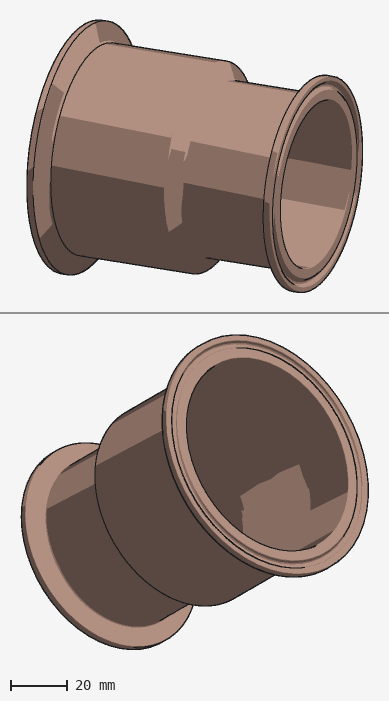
import cadquery as cq
import math


length = 92.1
wall = 1.7
large_bore_d = 72.9
small_bore_d = 60.2
large_flange_d = 90.9
small_flange_d = 77.4
rim_width = 2.9
flange_angle = math.radians(20)
rim_radius = 0.4
bore_lip_radius = 0.4
neck_radius = 0.8

step_center_x = 52.5
step_angle = math.radians(60)
step_radius = 0.9

taper_start_x = 22.65
taper_end_x = 51.6
taper_radius = 7.8

groove_center_offset = 5.25
groove_bottom_radius = 1.2
groove_lip_radius = 0.6
groove_wall_angle = math.radians(75)

large_bore_r = large_bore_d / 2
small_bore_r = small_bore_d / 2
large_tube_r = large_bore_r + wall
small_tube_r = small_bore_r + wall
large_flange_r = large_flange_d / 2
small_flange_r = small_flange_d / 2

step_half_length = (large_tube_r - small_tube_r) / math.tan(step_angle) / 2
step_start_x = step_center_x - step_half_length
step_end_x = step_center_x + step_half_length


def flange_back_length(flange_r, tube_r):
    """Axial length of the conical flange back, from rim to tube."""
    return (flange_r - tube_r) * math.tan(flange_angle)


large_neck_x = rim_width + flange_back_length(large_flange_r, large_tube_r)
small_neck_x = length - rim_width - flange_back_length(small_flange_r, small_tube_r)


def revolve_about_x(profile):
    return profile.revolve(360, (0, 0, 0), (1, 0, 0))


def round_circle(body, x, circle_r, fillet_r):
    """Fillet the circular edge of radius circle_r centered on the axis at x."""
    tolerance = 0.01
    edges = [
        edge for edge in body.edges("%CIRCLE").vals()
        if abs(edge.Center().x - x) < tolerance and abs(edge.radius() - circle_r) < tolerance
    ]
    return body.newObject(edges).fillet(fillet_r)


def make_outside():
    outside = revolve_about_x(
        cq.Workplane("XY").polyline([
            (0, 0),
            (0, large_flange_r),
            (rim_width, large_flange_r),
            (large_neck_x, large_tube_r),
            (step_start_x, large_tube_r),
            (step_end_x, small_tube_r),
            (small_neck_x, small_tube_r),
            (length - rim_width, small_flange_r),
            (length, small_flange_r),
            (length, 0),
        ]).close()
    )
    rounded_edges = [
        (0, large_flange_r, rim_radius),
        (rim_width, large_flange_r, rim_radius),
        (large_neck_x, large_tube_r, neck_radius),
        (step_start_x, large_tube_r, step_radius),
        (step_end_x, small_tube_r, step_radius),
        (small_neck_x, small_tube_r, neck_radius),
        (length - rim_width, small_flange_r, rim_radius),
        (length, small_flange_r, rim_radius),
    ]
    for x, edge_r, fillet_r in rounded_edges:
        outside = round_circle(outside, x, edge_r, fillet_r)
    return outside


def make_bore():
    bore = revolve_about_x(
        cq.Workplane("XY").polyline([
            (0, 0),
            (0, large_bore_r),
            (taper_start_x, large_bore_r),
            (taper_end_x, small_bore_r),
            (length, small_bore_r),
            (length, 0),
        ]).close()
    )
    for x, edge_r in [(taper_start_x, large_bore_r), (taper_end_x, small_bore_r)]:
        bore = round_circle(bore, x, edge_r, taper_radius)
    return bore


def make_gasket_groove(face_x, inward, bore_r):
    """Ring sunk into an end face: a round bottom meeting the face through rounded lips.

    inward is +1 or -1, the direction along X into the part.
    """
    center_r = bore_r + groove_center_offset
    bottom_half = groove_bottom_radius * math.sin(groove_wall_angle)
    lip_reach = groove_lip_radius * math.sin(groove_wall_angle)
    lip_drop = groove_lip_radius * (1 - math.cos(groove_wall_angle))
    bottom_drop = groove_bottom_radius * (1 - math.cos(groove_wall_angle))
    mid_reach = groove_lip_radius * math.sin(groove_wall_angle / 2)
    mid_drop = groove_lip_radius * (1 - math.cos(groove_wall_angle / 2))
    half_width = bottom_half + lip_reach

    def point(depth, offset):
        return (face_x + inward * depth, center_r + offset)

    return revolve_about_x(
        cq.Workplane("XY")
        .moveTo(*point(0, -half_width))
        .threePointArc(point(mid_drop, mid_reach - half_width), point(lip_drop, -bottom_half))
        .threePointArc(point(lip_drop + bottom_drop, 0), point(lip_drop, bottom_half))
        .threePointArc(point(mid_drop, half_width - mid_reach), point(0, half_width))
        .close()
    )


result = (
    make_outside()
    .cut(make_bore())
    .cut(make_gasket_groove(0, 1, large_bore_r))
    .cut(make_gasket_groove(length, -1, small_bore_r))
)
for face_x, bore_r in [(0, large_bore_r), (length, small_bore_r)]:
    result = round_circle(result, face_x, bore_r, bore_lip_radius)